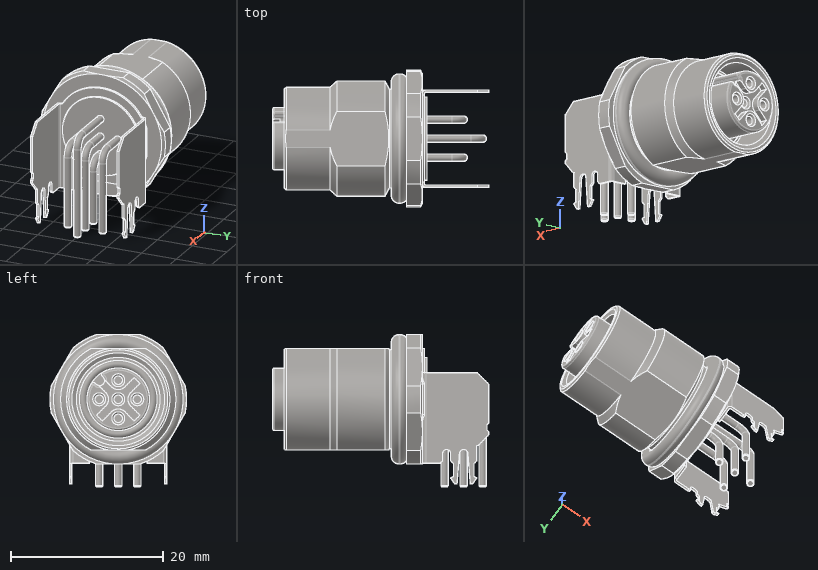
import cadquery as cq
import math


insert_dia = 8.2
insert_fillet = 0.28
hole_dia = 1.1
hole_mouth_dia = 1.7
hole_depth = 4.25
contact_pitch = 2.5
cross_width = 1.08
cross_reach = 3.5
cross_depth = 1.0
key_dia = 1.3
key_radius_from_axis = 3.46
key_depth = 5.68
key_rim_fillet = 0.35

shell_front = 1.53
shell_front_dia = 13.55
shell_large_dia = 15.15
shell_neck_dia = 13.0
shell_flats = 13.35
shell_edge = (shell_front_dia - shell_neck_dia) / 2
step_start = 7.55
step_end = 8.43
taper_start = 14.77
taper_end = 15.35
bore_dia = 11.0
bore_mouth_dia = 12.18
bore_lead_in = 0.35
bore_floor = 6.82

inner_ring_dia = 10.2
inner_ring_section = 1.02
outer_ring_dia = 17.0
outer_ring_section = 2.1
outer_ring_front = 15.55
outer_ring_band = 0.1

flange_front = 17.55
flange_back = 19.65
flange_flats = 17.0
flange_corner_dia = 17.95
flange_back_dia = 17.05
flange_bevel = 0.23

sheet = 0.3
bracket_width = 12.78
bracket_end = 28.4
bracket_top = 3.5
bracket_bottom = -8.4
bracket_bend = 0.45
bracket_disc_dia = 13.4
bracket_notch_width = 7.55
bracket_notch_top = -6.53
bracket_corner = 1.53
leg_tip = -11.1
slot_top = -6.6

rear_disc_dia = 11.0
rear_disc_back = 20.28
pin_dia = 1.0
pin_bend = 1.5
overall_height = 20.0
pin_bottom = flange_flats / 2 - overall_height
pin_chamfer_height = 0.17
pin_chamfer_inset = 0.1
middle_row_x = 25.08

outer_contacts = [(contact_pitch, 0), (0, contact_pitch), (-contact_pitch, 0), (0, -contact_pitch)]
contacts = [(0, 0)] + outer_contacts


def revolve_profile(points):
    """Revolve a closed (x, radius) outline about the X axis."""
    return cq.Workplane("XY").polyline(points).close().revolve(360, (0, 0, 0), (1, 0, 0))


def disc(dia, start, end):
    return cq.Workplane("YZ", origin=(start, 0, 0)).circle(dia / 2).extrude(end - start)


def slab(start, end, width, bottom, top):
    """Block centred on Y."""
    block = cq.Workplane("XY").box(end - start, width, top - bottom, centered=(False, True, False))
    return block.translate((start, 0, bottom))


def make_inner_ring():
    """Sealing ring half sunk into the bore floor around the insert."""
    center_radius = (inner_ring_dia - inner_ring_section) / 2
    ring = cq.Solid.makeTorus(
        center_radius, inner_ring_section / 2, cq.Vector(bore_floor, 0, 0), cq.Vector(1, 0, 0)
    )
    return cq.Workplane(ring)


def make_outer_ring():
    """Sealing ring with a narrow flat band, seated against the flange."""
    round_radius = outer_ring_section / 2
    inner_radius = outer_ring_dia / 2 - outer_ring_section
    length = outer_ring_section + outer_ring_band
    section = (
        cq.Workplane("XY")
        .center(outer_ring_front + length / 2, inner_radius + round_radius)
        .slot2D(length, outer_ring_section)
    )
    axis_drop = -(inner_radius + round_radius)
    ring = section.revolve(360, (0, axis_drop, 0), (1, axis_drop, 0))
    return ring.intersect(disc(flange_corner_dia, outer_ring_front, flange_back))


def make_shell():
    edge_radius = shell_front_dia / 2 - shell_edge
    body = revolve_profile([
        (shell_front, bore_mouth_dia / 2),
        (shell_front, edge_radius),
        (shell_front + shell_edge, shell_front_dia / 2),
        (step_start, shell_front_dia / 2),
        (step_end, shell_large_dia / 2),
        (taper_start, shell_large_dia / 2),
        (taper_end, shell_neck_dia / 2),
        (flange_back, shell_neck_dia / 2),
        (flange_back, 0),
        (bore_floor, 0),
        (bore_floor, bore_dia / 2),
        (shell_front + bore_lead_in, bore_dia / 2),
    ])
    flats = cq.Workplane("XY").box(2 * flange_back, shell_large_dia, shell_flats)
    return body.intersect(flats)


def make_flange():
    hex_across_corners = flange_flats / math.cos(math.pi / 6)
    hexagon = (
        cq.Workplane("YZ", origin=(flange_front, 0, 0))
        .polygon(6, hex_across_corners)
        .extrude(flange_back - flange_front)
    )
    rounded = revolve_profile([
        (flange_front, 0),
        (flange_front, flange_corner_dia / 2),
        (flange_back - flange_bevel, flange_corner_dia / 2),
        (flange_back, flange_back_dia / 2),
        (flange_back, 0),
    ])
    return hexagon.intersect(rounded)


def make_cross_recess():
    arm = cq.Workplane("XY").box(cross_depth, 2 * cross_reach, cross_width)
    arm = arm.translate((cross_depth / 2, 0, 0))
    cross = arm.union(arm.rotate((0, 0, 0), (1, 0, 0), 90))
    corner_radius = contact_pitch / math.sqrt(2) - cross_width / 2
    reach = cross_width
    inner_corners = cq.selectors.BoxSelector((0, -reach, -reach), (cross_depth, reach, reach))
    cross = cross.edges("|X").edges(inner_corners).fillet(corner_radius)
    return cross.rotate((0, 0, 0), (1, 0, 0), 45)


def make_key_slot():
    """Round-bottomed slot, open towards +Y."""
    half = key_dia / 2
    rim = insert_dia / 2 + key_dia
    return (
        cq.Workplane("YZ")
        .moveTo(rim, half)
        .lineTo(key_radius_from_axis, half)
        .threePointArc((key_radius_from_axis - half, 0), (key_radius_from_axis, -half))
        .lineTo(rim, -half)
        .close()
        .extrude(key_depth)
    )


def make_contact_hole(y, z, face_x):
    sink = (hole_mouth_dia - hole_dia) / 2
    hole = revolve_profile([
        (face_x, 0),
        (face_x, hole_mouth_dia / 2),
        (face_x + sink, hole_dia / 2),
        (hole_depth, hole_dia / 2),
        (hole_depth, 0),
    ])
    return hole.translate((0, y, z))


def make_insert():
    insert = disc(insert_dia, 0, flange_back).cut(make_key_slot())
    insert = insert.edges("|X").edges("<X").edges(">Y").fillet(key_rim_fillet)
    insert = insert.faces("<X").edges().fillet(insert_fillet)
    insert = insert.rotate((0, 0, 0), (1, 0, 0), 45)
    insert = insert.cut(make_cross_recess())
    for y, z in outer_contacts:
        insert = insert.cut(make_contact_hole(y, z, 0))
    return insert.cut(make_contact_hole(0, 0, cross_depth))


def make_bracket_outline():
    """Side outline of the bracket in XZ: rear notch, snap legs and slots."""
    slot_radius = 0.55
    slot_shoulder = slot_top - slot_radius
    leg_inner = 0.85
    tip_outer = 1.2
    leg_outer = 1.35
    leg_shoulder = 1.73
    shoulder_z = -8.07
    neck_z = -8.43
    barb_root_z = -10.15
    barb_z = -10.3
    front_slot_radius = 0.5
    front_corner_step = 0.35
    mid = middle_row_x
    front_slot_x = mid - leg_shoulder - front_slot_radius
    front_shoulder = slot_top - front_slot_radius
    rear_ledge_z = -6.08
    rear_ledge_width = 0.17
    notch_x = bracket_end - 0.25
    notch_bevel = 0.25
    notch_upper_z = -3.1
    notch_lower_z = -4.3
    tooth_height = 0.35
    return (
        cq.Workplane("XZ")
        .moveTo(flange_back, bracket_top)
        .lineTo(bracket_end - bracket_corner, bracket_top)
        .lineTo(bracket_end, bracket_top - bracket_corner)
        .lineTo(bracket_end, notch_upper_z)
        .lineTo(notch_x, notch_upper_z - notch_bevel)
        .lineTo(notch_x, notch_lower_z + notch_bevel)
        .lineTo(bracket_end, notch_lower_z)
        .lineTo(bracket_end, notch_lower_z - tooth_height)
        .lineTo(mid + leg_shoulder + rear_ledge_width, rear_ledge_z)
        .lineTo(mid + leg_shoulder, rear_ledge_z)
        .lineTo(mid + leg_shoulder, shoulder_z)
        .lineTo(mid + leg_outer, neck_z)
        .lineTo(mid + leg_outer, barb_root_z)
        .lineTo(mid + leg_shoulder, barb_z)
        .lineTo(mid + tip_outer, leg_tip)
        .lineTo(mid + leg_inner, leg_tip)
        .lineTo(mid + slot_radius, slot_shoulder)
        .threePointArc((mid, slot_top), (mid - slot_radius, slot_shoulder))
        .lineTo(mid - leg_inner, leg_tip)
        .lineTo(mid - tip_outer, leg_tip)
        .lineTo(mid - leg_shoulder, barb_z)
        .lineTo(mid - leg_outer, barb_root_z)
        .lineTo(mid - leg_outer, neck_z)
        .lineTo(mid - leg_shoulder, shoulder_z)
        .lineTo(mid - leg_shoulder, front_shoulder)
        .threePointArc((front_slot_x, slot_top), (front_slot_x - front_slot_radius, front_shoulder))
        .lineTo(front_slot_x - front_slot_radius, shoulder_z)
        .lineTo(front_slot_x - front_slot_radius - front_corner_step, bracket_bottom)
        .lineTo(flange_back, bracket_bottom)
        .close()
    )


def make_bracket():
    """Folded sheet: a plate behind the flange and two side walls with snap legs."""
    inner_width = bracket_width - 2 * sheet
    plate_back = flange_back + sheet
    outside = slab(flange_back, bracket_end, bracket_width, leg_tip, bracket_top)
    inside = slab(plate_back, bracket_end, inner_width, leg_tip, bracket_top)
    outside = outside.edges("|Z and <X").fillet(bracket_bend)
    inside = inside.edges("|Z and <X").fillet(bracket_bend - sheet)
    outline = make_bracket_outline().extrude(bracket_width / 2, both=True)
    bracket = outside.cut(inside).intersect(outline)
    bracket = bracket.union(make_bracket_disc())
    return bracket.cut(slab(flange_back, plate_back, bracket_notch_width, leg_tip, bracket_notch_top))


def make_bracket_disc():
    """Round top of the plate, kept within the bracket width."""
    plate_back = flange_back + sheet
    radius = bracket_disc_dia / 2
    width_limit = slab(flange_back, plate_back, bracket_width, -radius, radius)
    return disc(bracket_disc_dia, flange_back, plate_back).intersect(width_limit)


def make_pin(y, z):
    """Pin that leaves the rear disc along X and bends down; higher pins reach further back."""
    row_x = middle_row_x + z
    bend_start = row_x - pin_bend
    bend_mid = pin_bend * math.sqrt(0.5)
    path = (
        cq.Workplane("XZ", origin=(0, y, 0))
        .moveTo(flange_back, z)
        .lineTo(bend_start, z)
        .threePointArc((bend_start + bend_mid, z - pin_bend + bend_mid), (row_x, z - pin_bend))
        .lineTo(row_x, pin_bottom)
    )
    pin = cq.Workplane("YZ", origin=(flange_back, y, z)).circle(pin_dia / 2).sweep(path)
    return pin.faces("<Z").edges().chamfer(pin_chamfer_height, pin_chamfer_inset)


result = make_shell().union(make_insert())
result = result.union(make_inner_ring())
result = result.union(make_flange())
result = result.union(make_outer_ring())
result = result.union(make_bracket())
result = result.union(disc(rear_disc_dia, flange_back, rear_disc_back))
for contact_y, contact_z in contacts:
    result = result.union(make_pin(contact_y, contact_z))